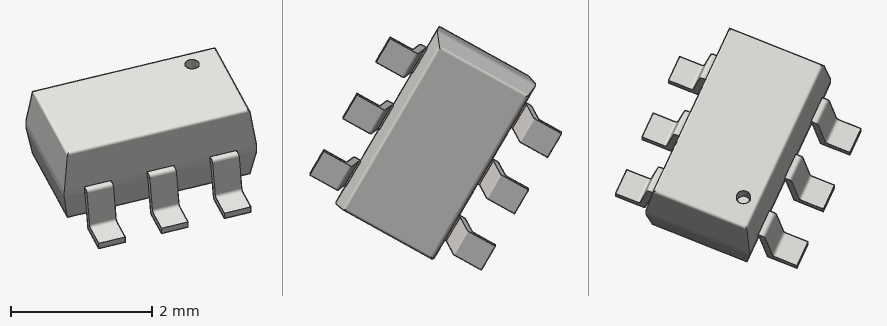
import cadquery as cq
import math


span_x = 2.794
body_width = 1.6
body_length = 2.895
body_top = 1.29
body_bottom = 0.08

band_top = 0.67
band_bottom = 0.565
upper_draft = 7.0
lower_draft = 9.0
body_edge_radius = 0.04

lead_count_per_side = 3
lead_pitch = 0.945
lead_width = 0.4
lead_thickness = 0.1
lead_lean = 12.0
bend_radius = 0.05
heel_radius = 0.03
shoulder_length = 0.105

mark_diameter = 0.2
mark_depth = 0.2
mark_x = -0.485
mark_y = 0.94


def make_body():
    def slab(start_z, end_z, draft):
        return (
            cq.Workplane("XY", origin=(0, 0, start_z))
            .rect(body_width, body_length)
            .extrude(end_z - start_z, taper=draft)
        )

    band = slab(band_bottom, band_top, 0)
    upper = slab(band_top, body_top, upper_draft)
    upper = upper.faces(">Z").edges().fillet(body_edge_radius)
    lower = slab(band_bottom, body_bottom, lower_draft)
    lower = lower.faces("<Z").edges().fillet(body_edge_radius)
    mark = (
        cq.Workplane("XY", origin=(mark_x, mark_y, body_top))
        .circle(mark_diameter / 2)
        .extrude(-mark_depth)
    )
    return band.union(upper).union(lower).cut(mark)


def make_lead(side, y_centre):
    """Gull-wing lead on the side -1 (toward -X) or +1 (toward +X), butted against the band."""
    lean = math.radians(lead_lean)
    corner_shift = lead_thickness * math.tan((math.pi / 2 - lean) / 2)

    shoulder_underside = band_top - lead_thickness
    root_x = -body_width / 2
    toe_x = -span_x / 2
    shoulder_outer_x = root_x - shoulder_length
    instep_x = shoulder_outer_x - shoulder_underside * math.tan(lean)
    shoulder_inner_x = shoulder_outer_x + corner_shift
    heel_x = instep_x + corner_shift

    profile = [
        (toe_x, 0),
        (heel_x, 0),
        (shoulder_inner_x, shoulder_underside),
        (root_x, shoulder_underside),
        (root_x, band_top),
        (shoulder_outer_x, band_top),
        (instep_x, lead_thickness),
        (toe_x, lead_thickness),
    ]
    bends = [
        (shoulder_outer_x, band_top, bend_radius),
        (instep_x, lead_thickness, bend_radius),
        (heel_x, 0, heel_radius),
    ]

    lead = cq.Workplane("XZ").polyline(profile).close().extrude(lead_width / 2, both=True)
    for x, z, radius in bends:
        lead = lead.edges(cq.NearestToPointSelector((x, 0, z))).fillet(radius)
    if side > 0:
        lead = lead.mirror("YZ")
    return lead.translate((0, y_centre, 0))


body = make_body()

leads = []
for side in (-1, 1):
    for index in range(lead_count_per_side):
        y_centre = (index - (lead_count_per_side - 1) / 2) * lead_pitch
        leads.append(make_lead(side, y_centre))

result = cq.Compound.makeCompound([body.val(), *[lead.val() for lead in leads]])